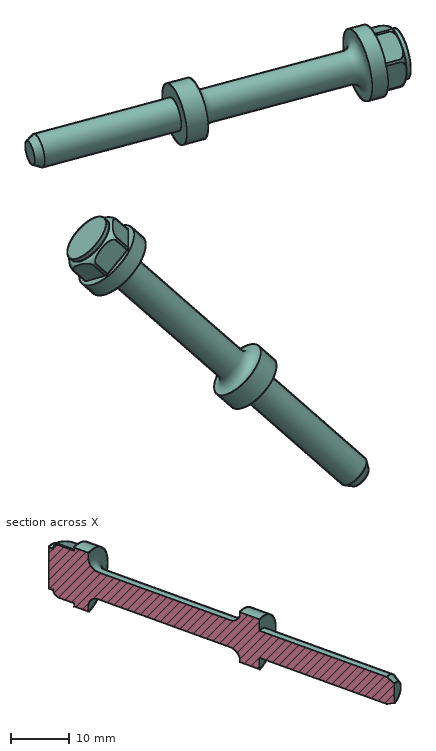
import cadquery as cq
import math

total_length = 69.1

shaft_diameter = 6.0
shaft_radius = shaft_diameter / 2
tip_diameter = 4.3
tip_taper_length = 1.5

flange_diameter = 11.0
flange_start = 26.95
flange_thickness = 4.0

collar_diameter = 12.9
collar_thickness = 3.0
root_fillet_radius = 2.0

hex_sides = 6
hex_across_flats = 10.2
hex_corner_diameter = 11.55
hex_length = 4.2
hex_crown_radius = 1.4

cap_diameter = 9.1
cap_length = 0.8

flange_end = flange_start + flange_thickness
hex_end = total_length - cap_length
hex_start = hex_end - hex_length
collar_start = hex_start - collar_thickness


def cylinder(diameter, start, end):
    """Solid cylinder on the Y axis between two stations."""
    return cq.Workplane("XZ", origin=(0, start, 0)).circle(diameter / 2).extrude(start - end)


def make_shaft():
    """Straight shaft from the tip to the collar, with a conical tip."""
    return (
        cq.Workplane("XY")
        .lineTo(tip_diameter / 2, 0)
        .lineTo(shaft_radius, tip_taper_length)
        .lineTo(shaft_radius, collar_start)
        .lineTo(0, collar_start)
        .close()
        .revolve(360, (0, 0, 0), (0, 1, 0))
    )


def make_root_blend(face_station, direction):
    """Concave flare around the shaft; direction (+1 or -1) is the way it runs from the face along Y."""
    far_station = face_station + direction * root_fillet_radius
    outer_radius = shaft_radius + root_fillet_radius
    arc_drop = root_fillet_radius * (1 - math.cos(math.radians(45)))
    return (
        cq.Workplane("XY")
        .moveTo(0, face_station)
        .lineTo(outer_radius, face_station)
        .threePointArc(
            (shaft_radius + arc_drop, face_station + direction * arc_drop),
            (shaft_radius, far_station),
        )
        .lineTo(0, far_station)
        .close()
        .revolve(360, (0, 0, 0), (0, 1, 0))
    )


def make_hexagon():
    """Hexagonal grip with corners at +Z and -Z, turned round at its corners and outer end."""
    prism = (
        cq.Workplane("XZ", origin=(0, hex_start, 0))
        .polygon(hex_sides, hex_across_flats, circumscribed=True)
        .extrude(-hex_length)
    )
    envelope = cylinder(hex_corner_diameter, hex_start, hex_end).faces(">Y").edges().fillet(hex_crown_radius)
    return prism.intersect(envelope)


result = (
    make_shaft()
    .union(cylinder(flange_diameter, flange_start, flange_end))
    .union(make_root_blend(flange_end, 1))
    .union(make_root_blend(collar_start, -1))
    .union(cylinder(collar_diameter, collar_start, hex_start))
    .union(make_hexagon())
    .union(cylinder(cap_diameter, hex_end, total_length))
)